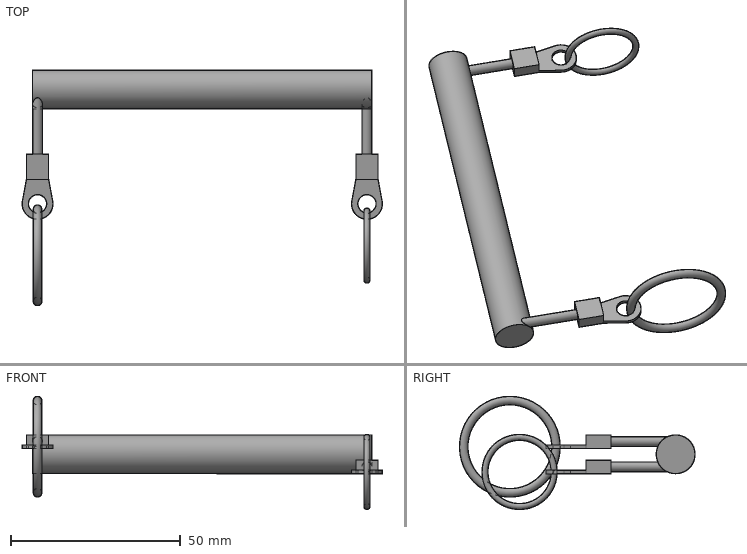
import cadquery as cq
import math

bar_diameter = 11.5
bar_length = 100.0
bar_radius = bar_diameter / 2

cable_diameter = 3.0
cable_x = (bar_length - cable_diameter) / 2
cable_end_y = -19.0

block_width = 6.6
block_length = 7.4
block_height = 4.0
tag_thickness = 1.1
overall_length = 106.2
tag_eye_diameter = overall_length - 2 * cable_x
tag_hole_diameter = 5.3
tag_hole_y = -33.7
block_end_y = cable_end_y - block_length

upper_block_bottom = bar_radius - block_height
lower_block_bottom = -bar_radius

large_ring_outer_diameter = 29.7
large_ring_wire = 2.5
large_ring_y = -48.9
small_ring_outer_diameter = 22.2
small_ring_wire = 1.8
small_ring_y = -46.0


def make_bar():
    return cq.Workplane("YZ").circle(bar_radius).extrude(bar_length / 2, both=True)


def make_cable(x, block_bottom):
    """Cable from the bar's middle plane to the centre of the block."""
    z = block_bottom + block_height / 2
    section = cq.Workplane("XZ", origin=(x, 0, z)).circle(cable_diameter / 2)
    return section.extrude(-cable_end_y)


def make_terminal(x, block_bottom):
    """Crimp block and a tag whose sides run tangent into its round eye."""
    block = cq.Workplane("XY", origin=(x, 0, block_bottom)).box(
        block_width, block_length, block_height, centered=(True, False, False)
    ).translate((0, block_end_y, 0))

    eye_radius = tag_eye_diameter / 2
    corner_x = block_width / 2
    corner_rise = block_end_y - tag_hole_y
    corner_angle = math.atan2(corner_rise, corner_x)
    corner_distance = math.hypot(corner_x, corner_rise)
    tangent_angle = corner_angle - math.acos(eye_radius / corner_distance)
    tangent_x = eye_radius * math.cos(tangent_angle)
    tangent_y = tag_hole_y + eye_radius * math.sin(tangent_angle)

    tag = (
        cq.Workplane("XY", origin=(x, 0, block_bottom))
        .moveTo(-corner_x, block_end_y)
        .lineTo(-tangent_x, tangent_y)
        .threePointArc((0, tag_hole_y - eye_radius), (tangent_x, tangent_y))
        .lineTo(corner_x, block_end_y)
        .close()
        .moveTo(0, tag_hole_y)
        .circle(tag_hole_diameter / 2)
        .extrude(tag_thickness)
    )
    return block.union(tag)


def make_ring(x, y, block_bottom, outer_diameter, wire):
    """Round-wire ring about an X axis, centred on the tag's thickness."""
    z = block_bottom + tag_thickness / 2
    ring = cq.Solid.makeTorus(
        (outer_diameter - wire) / 2, wire / 2, cq.Vector(x, y, z), cq.Vector(1, 0, 0)
    )
    return cq.Workplane("XY").newObject([ring])


result = make_bar()
for x, block_bottom, ring_y, ring_diameter, ring_wire in (
    (-cable_x, upper_block_bottom, large_ring_y, large_ring_outer_diameter, large_ring_wire),
    (cable_x, lower_block_bottom, small_ring_y, small_ring_outer_diameter, small_ring_wire),
):
    result = result.union(make_cable(x, block_bottom))
    result = result.union(make_terminal(x, block_bottom))
    result = result.union(make_ring(x, ring_y, block_bottom, ring_diameter, ring_wire))